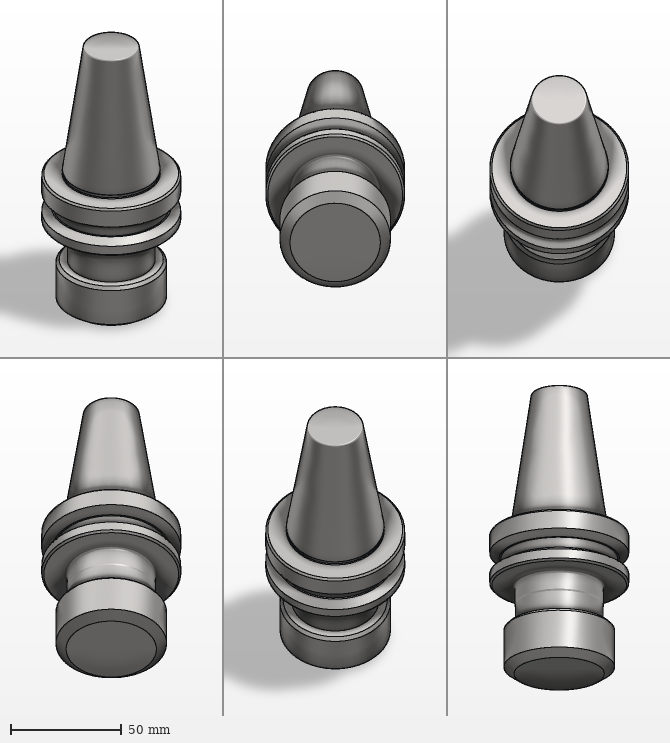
import cadquery as cq
import math

total_height = 135.4
gauge_height = 70.0
flange_top = 68.0
flange_bottom = 43.0
nut_height = 22.6

gauge_radius = 22.2
taper_slope = 7 / 24 / 2
tip_radius = gauge_radius - (total_height - gauge_height) * taper_slope
tip_round = 1.0

relief_radius = 21.8
relief_step = gauge_radius - relief_radius
relief_foot = 0.4

flange_diameter = 63.0
flange_radius = flange_diameter / 2
flange_chamfer = 1.0
groove_radius = 26.4
groove_mouth_radius = 27.2
groove_mid_height = 53.5
groove_half_floor = 2.6
groove_angle = 30
groove_half_mouth = groove_half_floor + (flange_radius - groove_mouth_radius) * math.tan(
    math.radians(groove_angle)
)

collar_radius = 20.0
collar_bottom = 33.5
shank_radius = 19.9
step_height = 0.8
shank_fillet = 1.9

nut_radius = 25.0
nut_top_chamfer = 1.5
nut_face_radius = 20.5
nut_face_bevel = 3.2


def flange_and_taper_profile(outline):
    """Continue the half outline from the shank fillet up to the taper tip."""
    groove_low = groove_mid_height - groove_half_floor
    groove_high = groove_mid_height + groove_half_floor
    return (
        outline.lineTo(flange_radius - flange_chamfer, flange_bottom)
        .lineTo(flange_radius, flange_bottom + flange_chamfer)
        .lineTo(flange_radius, groove_mid_height - groove_half_mouth)
        .lineTo(groove_mouth_radius, groove_low)
        .lineTo(groove_radius, groove_low)
        .lineTo(groove_radius, groove_high)
        .lineTo(groove_mouth_radius, groove_high)
        .lineTo(flange_radius, groove_mid_height + groove_half_mouth)
        .lineTo(flange_radius, flange_top - flange_chamfer)
        .lineTo(flange_radius - flange_chamfer, flange_top)
        .lineTo(relief_radius + relief_foot, flange_top)
        .lineTo(relief_radius, flange_top + relief_foot)
        .lineTo(relief_radius, gauge_height - relief_step)
        .lineTo(gauge_radius, gauge_height)
        .lineTo(tip_radius, total_height)
        .lineTo(0, total_height)
    )


def nut_and_shank_profile():
    """Start the half outline at the nut face and run up to the flange underside."""
    fillet_center_radius = collar_radius + shank_fillet
    fillet_center_height = flange_bottom - shank_fillet
    fillet_reach = shank_fillet * math.sqrt(0.5)
    fillet_middle = (fillet_center_radius - fillet_reach, fillet_center_height + fillet_reach)
    return (
        cq.Workplane("XZ")
        .moveTo(0, 0)
        .lineTo(nut_face_radius, 0)
        .lineTo(nut_radius, nut_face_bevel)
        .lineTo(nut_radius, nut_height - nut_top_chamfer)
        .lineTo(nut_radius - nut_top_chamfer, nut_height)
        .lineTo(shank_radius, nut_height)
        .lineTo(shank_radius, collar_bottom - step_height)
        .lineTo(collar_radius, collar_bottom)
        .lineTo(collar_radius, fillet_center_height)
        .threePointArc(fillet_middle, (fillet_center_radius, flange_bottom))
    )


half_outline = flange_and_taper_profile(nut_and_shank_profile()).close()
holder = half_outline.revolve(360, (0, 0, 0), (0, 1, 0))

result = holder.faces(">Z").edges().fillet(tip_round)